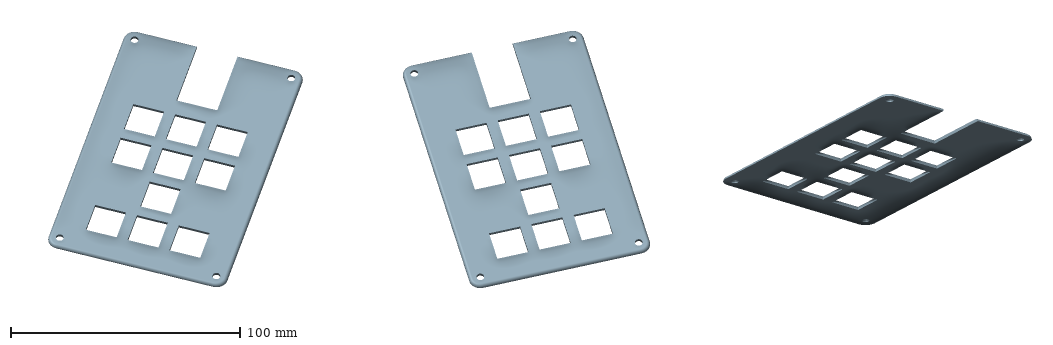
import cadquery as cq

width = 81.5
length = 122.2
thickness = 1.5
corner_radius = 5.0
edge_radius = thickness

hole_diameter = 3.4

window_size = 14.0
window_pitch = 19.1
top_row_y = 15.5
window_rows = [(-1, 0, 1), (-1, 0, 1), (0,), (-1, 0, 1)]

notch_width = 18.6
notch_depth = 31.2
notch_center_x = 0.6


def rounded_plate():
    block = (
        cq.Workplane("XY")
        .box(width, length, 2 * thickness)
        .edges("|Z").fillet(corner_radius)
        .faces(">Z").edges().fillet(edge_radius)
    )
    upper_half = cq.Workplane("XY").box(width, length, thickness, centered=(True, True, False))
    return block.intersect(upper_half)


def screw_holes():
    return (
        cq.Workplane("XY")
        .rect(width - 2 * corner_radius, length - 2 * corner_radius, forConstruction=True)
        .vertices()
        .circle(hole_diameter / 2)
        .extrude(thickness)
    )


def key_windows():
    centers = [
        (column * window_pitch, top_row_y - row * window_pitch)
        for row, columns in enumerate(window_rows)
        for column in columns
    ]
    return cq.Workplane("XY").pushPoints(centers).rect(window_size, window_size).extrude(thickness)


def notch():
    return (
        cq.Workplane("XY")
        .center(notch_center_x, (length - notch_depth) / 2)
        .rect(notch_width, notch_depth)
        .extrude(thickness)
    )


result = rounded_plate().cut(screw_holes()).cut(key_windows()).cut(notch())